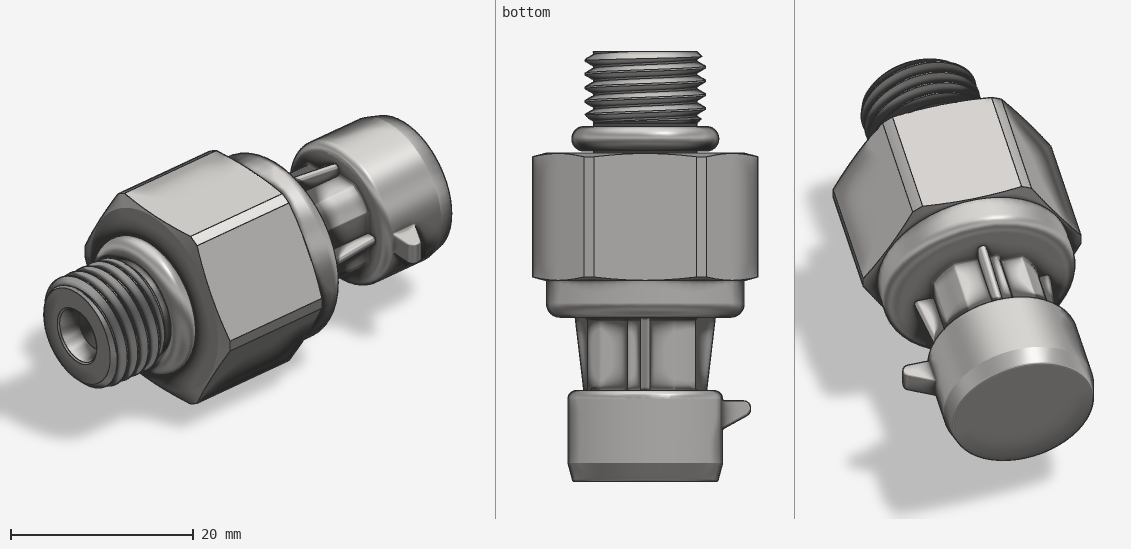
import cadquery as cq
import math


hex_front = 11.1
hex_back = 25.1
collar_back = 29.1
cap_front = 37.1
cap_taper_start = 45.07
cap_back = 47.1

port_radius = 5.65
thread_radius = 6.6
thread_pitch = 1.5
thread_length = 7.85
thread_crest = 0.2
thread_flank_angle = 30.0
thread_first_crest = 0.21
thread_sink = 0.15

bore_radius = 3.15
bore_chamfer = 0.2
bore_end_radius = 2.6
bore_depth = 2.45
drill_radius = 1.45
drill_point_angle = 118.0

ring_outer_radius = 8.05
ring_thickness = 2.7
ring_centre = 9.55

hex_flats = 22.0
hex_corner_radius = 12.35
hex_chamfer_angle = 15.0
hex_face_radius = 10.8

collar_radius = 10.85
collar_fillet = 1.5
cap_radius = 8.5
cap_front_fillet = 1.0
cap_taper_angle = 15.0
cap_back_fillet = 0.3

neck_radius = 6.35
neck_flat = 5.5
neck_upper_ledge = 4.47
neck_lower_ledge = 4.05
neck_step_x = -1.95
neck_edge_fillet = 0.45
neck_collar_fillet = 0.42
neck_cap_fillet = 0.3

fin_thickness = 1.0
fin_edge_fillet = 0.45
fin_collar_reach = 7.7
fin_cap_reach = 6.75

latch_front = 38.25
latch_root_back = 41.35
latch_slope_angle = 29.0
latch_reach = 11.55
latch_width = 2.5
latch_tip_fillet = 0.8
latch_edge_fillet = 0.2
latch_root_fillet = 0.2


def disc(radius, start, end):
    """Cylinder on the Y axis between two stations."""
    return cq.Workplane("XZ", origin=(0, start, 0)).circle(radius).extrude(start - end)


def turned(points):
    """Solid of revolution about Y from (radius, station) points."""
    return cq.Workplane("XY").polyline(points).close().revolve(360, (0, 0, 0), (0, 1, 0))


def make_thread():
    root_radius = port_radius - thread_sink
    half_crest = thread_crest / 2
    half_root = half_crest + (thread_radius - root_radius) * math.tan(math.radians(thread_flank_angle))
    path = cq.Wire.makeHelix(thread_pitch, thread_length + 2 * thread_pitch, root_radius)
    ridge = (
        cq.Workplane("XZ")
        .polyline(
            [
                (root_radius, -half_root),
                (thread_radius, -half_crest),
                (thread_radius, half_crest),
                (root_radius, half_root),
            ]
        )
        .close()
        .sweep(path, isFrenet=True)
        .rotate((0, 0, 0), (1, 0, 0), -90)
        .translate((0, thread_first_crest - thread_pitch, 0))
    )
    middle = thread_length / 2
    run_out = turned(
        [
            (0, 0),
            (port_radius, 0),
            (port_radius + middle, middle),
            (port_radius, thread_length),
            (0, thread_length),
        ]
    )
    return ridge.intersect(run_out)


def make_bore():
    drill_depth = (bore_end_radius - drill_radius) / math.tan(math.radians(drill_point_angle / 2))
    return turned(
        [
            (0, 0),
            (bore_radius + bore_chamfer, 0),
            (bore_radius, bore_chamfer),
            (bore_end_radius, bore_depth),
            (drill_radius, bore_depth + drill_depth),
            (0, bore_depth + drill_depth),
        ]
    )


def make_ring():
    section_radius = ring_thickness / 2
    return (
        cq.Workplane("XY")
        .center(ring_outer_radius - section_radius, ring_centre)
        .circle(section_radius)
        .revolve(360, (section_radius - ring_outer_radius, 0), (section_radius - ring_outer_radius, 1))
    )


def make_hexagon():
    corner_distance = hex_flats / 2 / math.cos(math.radians(30))
    prism = (
        cq.Workplane("XZ", origin=(0, hex_front, 0))
        .polygon(6, 2 * corner_distance)
        .extrude(hex_front - hex_back)
    )
    slope = math.tan(math.radians(hex_chamfer_angle))
    front_chamfer = (hex_corner_radius - hex_face_radius) * slope
    back_chamfer = (hex_corner_radius - collar_radius) * slope
    envelope = turned(
        [
            (0, hex_front),
            (hex_face_radius, hex_front),
            (hex_corner_radius, hex_front + front_chamfer),
            (hex_corner_radius, hex_back - back_chamfer),
            (collar_radius, hex_back),
            (0, hex_back),
        ]
    )
    return prism.intersect(envelope)


def make_collar():
    return disc(collar_radius, hex_back, collar_back).faces(">Y").edges().fillet(collar_fillet)


def make_cap():
    back_radius = cap_radius - (cap_back - cap_taper_start) * math.tan(math.radians(cap_taper_angle))
    cap = turned(
        [
            (0, cap_front),
            (cap_radius, cap_front),
            (cap_radius, cap_taper_start),
            (back_radius, cap_back),
            (0, cap_back),
        ]
    )
    cap = cap.faces("<Y").edges().fillet(cap_front_fillet)
    return cap.faces(">Y").edges().fillet(cap_back_fillet)


def neck_block(x_min, x_max, z_min, z_max):
    return cq.Workplane("XY").box(
        x_max - x_min, cap_front - collar_back, z_max - z_min, centered=False
    ).translate((x_min, collar_back, z_min))


def make_neck_core():
    square_side = neck_block(neck_step_x, neck_flat, -neck_flat, neck_flat)
    ledge_side = neck_block(-neck_radius - 0.45, 0, -neck_lower_ledge, neck_upper_ledge)
    core = disc(neck_radius, collar_back, cap_front).intersect(square_side.union(ledge_side))
    return core.edges("|Y").fillet(neck_edge_fillet)


def make_fin():
    """Tapered fin on the +X side."""
    return (
        cq.Workplane("XY", origin=(0, 0, -fin_thickness / 2))
        .polyline(
            [
                (0, collar_back),
                (fin_collar_reach, collar_back),
                (fin_cap_reach, cap_front),
                (0, cap_front),
            ]
        )
        .close()
        .extrude(fin_thickness)
        .edges("not(|X or |Y or |Z)")
        .fillet(fin_edge_fillet)
    )


def make_latch():
    drop = math.tan(math.radians(latch_slope_angle))
    root = cap_radius - 0.95
    tooth = (
        cq.Workplane("XY", origin=(0, 0, -latch_width / 2))
        .polyline(
            [
                (root, latch_front),
                (latch_reach, latch_front),
                (latch_reach, latch_root_back - (latch_reach - cap_radius) * drop),
                (root, latch_root_back + (cap_radius - root) * drop),
            ]
        )
        .close()
        .extrude(latch_width)
    )
    tooth = tooth.edges(">X and |Z").fillet(latch_tip_fillet)
    return tooth.faces("<Z or >Z").edges("not(<X)").fillet(latch_edge_fillet)


result = make_collar().union(make_neck_core()).union(make_cap())


def core_end_edges(body, station):
    near_axis = cq.selectors.BoxSelector(
        (-neck_radius - 0.25, station - 0.005, -neck_radius - 0.25),
        (neck_radius + 0.25, station + 0.005, neck_radius + 0.25),
    )
    return body.edges(near_axis)


result = core_end_edges(result, collar_back).fillet(neck_collar_fillet)
result = core_end_edges(result, cap_front).fillet(neck_cap_fillet)

for turn in range(4):
    result = result.union(make_fin().rotate((0, 0, 0), (0, 1, 0), 90 * turn))

result = result.union(make_latch())
latch_root = cq.selectors.BoxSelector(
    (cap_radius - 0.45, cap_front + cap_front_fillet + 0.05, -latch_width),
    (cap_radius + 0.05, latch_root_back + 0.45, latch_width),
)
result = result.edges(latch_root).fillet(latch_root_fillet)
result = result.union(make_hexagon())
result = result.union(disc(port_radius, 0, hex_front))
result = result.union(make_thread())
result = result.union(make_ring())
result = result.cut(make_bore())